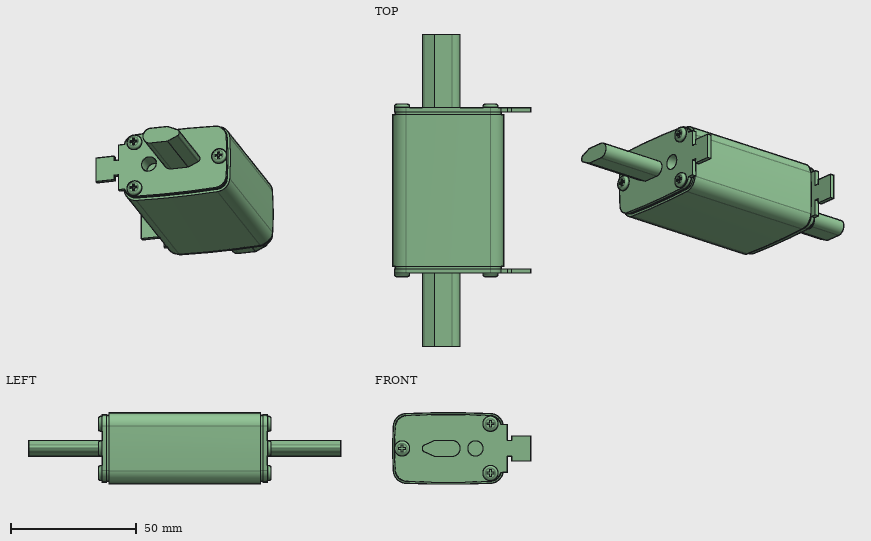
import cadquery as cq

overall_width = 54.9
overall_length = 124.0

body_width = 44.3
body_height = 28.5
body_length = 60.3
side_bulge = 0.6
corner_radius = 5.3

gasket_thickness = 1.0
gasket_inset = 1.0
plate_thickness = 1.7
plate_inset = 0.7

lug_end_x = overall_width - body_width / 2
shoulder_x = 23.4
shoulder_height = 19.1
neck_length = 1.7
neck_height = 6.3
tab_height = 10.0

blade_height = 6.3
blade_left_x = -10.3
blade_width = 15.0
blade_tip_height = 2.0
blade_taper_length = 4.8
blade_tip_rounding = 1.2

hole_x = 10.8
hole_diameter = 6.1
hole_depth = 7.5

screw_diameter = 6.1
screw_height = 1.5
screw_rounding = 1.05
recess_length = 2.7
recess_width = 0.7
recess_depth = 1.0
left_screw_x = -18.4
right_screw_x = 16.7
right_screw_z = 9.8
screw_places = [
    (left_screw_x, 0),
    (right_screw_x, right_screw_z),
    (right_screw_x, -right_screw_z),
]

body_end = body_length / 2
gasket_end = body_end + gasket_thickness
plate_end = gasket_end + plate_thickness
blade_end = overall_length / 2


def section_plane(y):
    """Plane facing +Y at the given y, with local y along Z and local x along -X."""
    return cq.Workplane(cq.Plane(origin=(0, y, 0), xDir=(-1, 0, 0), normal=(0, 1, 0)))


def bulged_block(inset, start_y, end_y):
    """Body outline shrunk by inset and extruded from start_y to end_y."""
    apex_x = body_width / 2 - inset
    apex_z = body_height / 2 - inset
    corner_x = apex_x - side_bulge
    corner_z = apex_z - side_bulge
    return (
        section_plane(start_y)
        .moveTo(-corner_x, -corner_z)
        .threePointArc((0, -apex_z), (corner_x, -corner_z))
        .threePointArc((apex_x, 0), (corner_x, corner_z))
        .threePointArc((0, apex_z), (-corner_x, corner_z))
        .threePointArc((-apex_x, 0), (-corner_x, -corner_z))
        .close()
        .extrude(end_y - start_y)
        .edges("|Y")
        .fillet(corner_radius - inset)
    )


def lug_bar(start_x, end_x, height):
    """Flat bar in the plate layer, from start_x to end_x and centred on z = 0."""
    return (
        cq.Workplane("XY")
        .box(end_x - start_x, plate_thickness, height, centered=(False, False, True))
        .translate((start_x, gasket_end, 0))
    )


def end_plate():
    """Plate with its lug: a wide shoulder, a narrow neck and a tab at the tip."""
    plate = bulged_block(plate_inset, gasket_end, plate_end)
    shoulder = lug_bar(0, shoulder_x, shoulder_height)
    neck = lug_bar(0, lug_end_x, neck_height)
    tab = lug_bar(shoulder_x + neck_length, lug_end_x, tab_height)
    return plate.union(shoulder).union(neck).union(tab)


def blade():
    """Bar with a tapered, rounded left edge and a full round right edge."""
    half_height = blade_height / 2
    half_tip = blade_tip_height / 2
    right_x = blade_left_x + blade_width
    round_x = right_x - half_height
    taper_x = blade_left_x + blade_taper_length
    return (
        cq.Workplane("XZ")
        .moveTo(blade_left_x, half_tip)
        .lineTo(taper_x, half_height)
        .lineTo(round_x, half_height)
        .threePointArc((right_x, 0), (round_x, -half_height))
        .lineTo(taper_x, -half_height)
        .lineTo(blade_left_x, -half_tip)
        .close()
        .extrude(-blade_end)
        .faces("<X")
        .edges("|Y")
        .fillet(blade_tip_rounding)
    )


def screw_head(x, z):
    """Rounded screw head with a cross recess, seated on the plate at (x, z)."""
    head = section_plane(0).circle(screw_diameter / 2).extrude(screw_height)
    head = head.faces(">Y").edges().fillet(screw_rounding)
    for slot_x, slot_z in [(recess_length, recess_width), (recess_width, recess_length)]:
        slot = section_plane(screw_height).rect(slot_x, slot_z).extrude(-recess_depth)
        head = head.cut(slot)
    return head.translate((x, plate_end, z))


def end_assembly():
    """Everything at the +Y end: gasket, plate with lug, blade and screws."""
    end = bulged_block(gasket_inset, body_end, gasket_end).union(end_plate()).union(blade())
    for x, z in screw_places:
        end = end.union(screw_head(x, z))
    return end


def end_hole():
    """Cutter for the blind hole, from the outer face of the plate inward."""
    return section_plane(plate_end).center(-hole_x, 0).circle(hole_diameter / 2).extrude(-hole_depth)


back_end = end_assembly()
back_hole = end_hole()

result = bulged_block(0, -body_end, body_end)
result = result.union(back_end).union(back_end.mirror("XZ"))
result = result.cut(back_hole).cut(back_hole.mirror("XZ"))